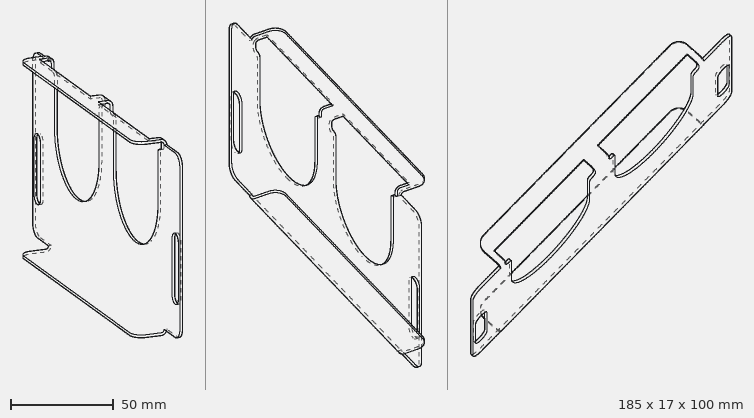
import cadquery as cq

plate_length = 185.0
overall_height = 100.0
overall_depth = 17.0
sheet = 1.5
bend_outer_radius = 3.0
bend_inner_radius = bend_outer_radius - sheet
corner_radius = 6.1

plate_height = overall_height - 2 * bend_outer_radius
flange_length = 145.2

cutout_spacing = 74.0
cutout_radius = 28.0
cutout_bottom = -13.0
window_width = 64.0
window_floor = 43.1
window_depth = 7.8
window_corner_radius = 1.8

slot_offset = 86.5
slot_length = 36.0
slot_width = 8.0
slot_height = -12.0

back = overall_depth / 2
front = -back
top = overall_height / 2


def make_plate():
    plate = cq.Workplane("XY").box(plate_length, sheet, plate_height)
    plate = plate.edges("|Y").fillet(corner_radius)
    return plate.translate((0, back - sheet / 2, 0))


def make_channel():
    """C-shaped bent strip: web, two bends and two flanges with rounded tips."""
    inner_back = back - sheet
    inner_top = top - sheet
    outer = (
        cq.Workplane("XY")
        .box(flange_length, overall_depth, overall_height)
        .edges("|X and >Y")
        .fillet(bend_outer_radius)
    )
    inner = (
        cq.Workplane("XY")
        .box(flange_length, inner_back - front, 2 * inner_top)
        .edges("|X and >Y")
        .fillet(bend_inner_radius)
        .translate((0, -sheet / 2, 0))
    )
    return outer.cut(inner).edges("|Z and <Y").fillet(corner_radius)


def make_cutout(center_x):
    """U opening through the web, plus the window through the upper bend and flange."""
    radius = cutout_radius
    half_window = window_width / 2
    arc_center = cutout_bottom + radius
    opening = (
        cq.Workplane("XZ", origin=(center_x, back, 0))
        .moveTo(-radius, arc_center)
        .threePointArc((0, cutout_bottom), (radius, arc_center))
        .lineTo(radius, window_floor)
        .lineTo(half_window, window_floor)
        .lineTo(half_window, top)
        .lineTo(-half_window, top)
        .lineTo(-half_window, window_floor)
        .lineTo(-radius, window_floor)
        .close()
        .extrude(window_depth)
    )
    shoulders = cq.selectors.BoxSelector(
        (center_x - window_width, front, window_floor - sheet),
        (center_x + window_width, back, window_floor + sheet),
    )
    return opening.edges("|Y").edges(shoulders).fillet(window_corner_radius)


def make_slots():
    return (
        cq.Workplane("XZ", origin=(0, back, 0))
        .pushPoints([(-slot_offset, slot_height), (slot_offset, slot_height)])
        .slot2D(slot_length, slot_width, 90)
        .extrude(sheet)
    )


result = make_plate().union(make_channel()).cut(make_slots())
for side in (-1, 1):
    result = result.cut(make_cutout(side * cutout_spacing / 2))